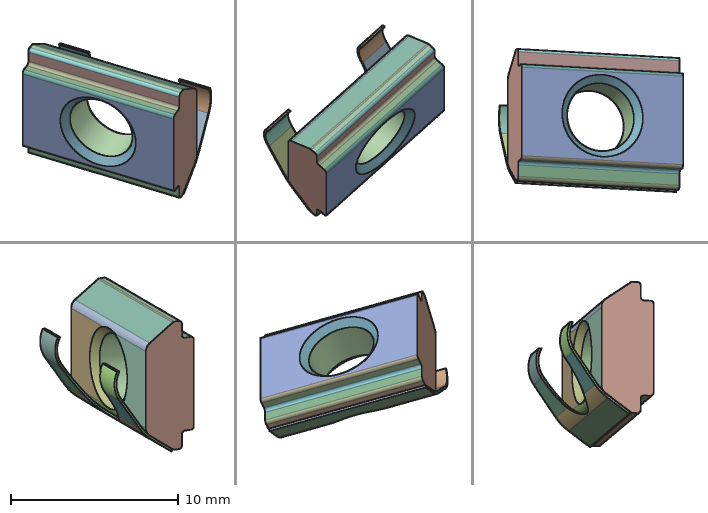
import cadquery as cq
import math

LENGTH = 10.0
HALF_HEIGHT = 4.0
DEPTH = 3.21
STEP_DEPTH = 0.8
STEP_HALF_HEIGHT = 2.9
FLANK_START = 1.36
FLANK_ANGLE = math.radians(35)
EDGE_RADIUS = 0.2
BACK_RADIUS = 0.6

BORE_DIAMETER = 4.13
SINK_DIAMETER = 5.0

SPRING_LENGTH = 9.94
SPRING_THICKNESS = 0.15
SPRING_BACK = 5.3
CURL_CENTER_Z = 0.6
CURL_RADIUS = 1.8
BEND_RADIUS = 3.2
LEAF_TOP = 1.37
SPRING_BOTTOM = -4.09
WINDOW_HALF_WIDTH = 3.0
WINDOW_END_HEIGHT = 2.6
WINDOW_CENTER_X = -0.04
WINDOW_CENTER_Z = -0.5


def make_body():
    """Extrude the symmetric T-slot nut profile and round its long edges."""
    back_half_height = HALF_HEIGHT - (DEPTH - FLANK_START) * math.tan(FLANK_ANGLE)
    upper = [
        (0, STEP_HALF_HEIGHT),
        (STEP_DEPTH, STEP_HALF_HEIGHT),
        (STEP_DEPTH, HALF_HEIGHT),
        (FLANK_START, HALF_HEIGHT),
        (DEPTH, back_half_height),
    ]
    lower = [(y, -z) for y, z in reversed(upper)]
    body = (
        cq.Workplane("YZ")
        .polyline(upper + lower)
        .close()
        .extrude(LENGTH / 2, both=True)
    )
    body = body.edges("|X").edges(">Y").fillet(BACK_RADIUS)
    front_zone = cq.selectors.BoxSelector(
        (-LENGTH, -0.1, -LENGTH), (LENGTH, FLANK_START + 0.1, LENGTH)
    )
    return body.edges("|X").edges(front_zone).fillet(EDGE_RADIUS)


def make_bore():
    """Through bore along Y joined to its front and back countersinks."""
    bore_radius = BORE_DIAMETER / 2
    sink_radius = SINK_DIAMETER / 2
    sink_depth = sink_radius - bore_radius
    return (
        cq.Workplane("XY")
        .polyline([
            (0, 0),
            (sink_radius, 0),
            (bore_radius, sink_depth),
            (bore_radius, DEPTH - sink_depth),
            (sink_radius, DEPTH),
            (0, DEPTH),
        ])
        .close()
        .revolve(360, (0, 0, 0), (0, 1, 0))
    )


def around(center, radius, angle):
    """Point at the given radius and angle about a centre in the YZ plane."""
    return (
        center[0] + radius * math.cos(angle),
        center[1] + radius * math.sin(angle),
    )


def make_spring():
    """Bent strip: foot along the flank, bend, straight leaf and curled tip."""
    curl_center = (SPRING_BACK - CURL_RADIUS, CURL_CENTER_Z)
    curl_inner = CURL_RADIUS - SPRING_THICKNESS
    leaf_normal = -FLANK_ANGLE
    foot_normal = FLANK_ANGLE - math.pi / 2
    bend_inner = BEND_RADIUS - SPRING_THICKNESS

    slide_start = around(curl_center, BEND_RADIUS - CURL_RADIUS, leaf_normal + math.pi)
    flank_offset = (
        (FLANK_START - slide_start[0]) * math.cos(foot_normal)
        + (-HALF_HEIGHT - slide_start[1]) * math.sin(foot_normal)
    )
    leaf_direction = leaf_normal - math.pi / 2
    slide = (flank_offset - bend_inner) / math.cos(leaf_direction - foot_normal)
    bend_center = around(slide_start, slide, leaf_direction)

    bend_end_outer = around(bend_center, BEND_RADIUS, foot_normal)
    foot_length = (bend_end_outer[1] - SPRING_BOTTOM) / math.sin(FLANK_ANGLE)
    foot_direction = foot_normal - math.pi / 2
    foot_outer = around(bend_end_outer, foot_length, foot_direction)
    foot_inner = around(foot_outer, SPRING_THICKNESS, foot_normal + math.pi)

    tip_rise = LEAF_TOP - CURL_CENTER_Z
    tip_outer_angle = math.asin(tip_rise / CURL_RADIUS)
    tip_inner_angle = math.asin(tip_rise / curl_inner)
    bend_middle = (leaf_normal + foot_normal) / 2

    strip = (
        cq.Workplane("YZ")
        .moveTo(*around(curl_center, CURL_RADIUS, tip_outer_angle))
        .threePointArc(
            around(curl_center, CURL_RADIUS, 0),
            around(curl_center, CURL_RADIUS, leaf_normal),
        )
        .lineTo(*around(bend_center, BEND_RADIUS, leaf_normal))
        .threePointArc(around(bend_center, BEND_RADIUS, bend_middle), bend_end_outer)
        .lineTo(*foot_outer)
        .lineTo(*foot_inner)
        .lineTo(*around(bend_center, bend_inner, foot_normal))
        .threePointArc(
            around(bend_center, bend_inner, bend_middle),
            around(bend_center, bend_inner, leaf_normal),
        )
        .lineTo(*around(curl_center, curl_inner, leaf_normal))
        .threePointArc(
            around(curl_center, curl_inner, 0),
            around(curl_center, curl_inner, tip_inner_angle),
        )
        .close()
        .extrude(SPRING_LENGTH / 2, both=True)
    )
    return strip.cut(make_window())


def make_window():
    """U-shaped opening along Y, with a half-elliptical end, that leaves two arms on the spring."""
    end = (
        cq.Workplane("XZ")
        .center(WINDOW_CENTER_X, WINDOW_CENTER_Z)
        .ellipse(WINDOW_HALF_WIDTH, WINDOW_END_HEIGHT)
        .extrude(-SPRING_BACK)
    )
    opening = (
        cq.Workplane("XZ")
        .center(WINDOW_CENTER_X, WINDOW_CENTER_Z)
        .rect(2 * WINDOW_HALF_WIDTH, HALF_HEIGHT)
        .extrude(-SPRING_BACK)
        .translate((0, 0, HALF_HEIGHT / 2))
    )
    return end.union(opening)


result = make_body().cut(make_bore()).union(make_spring())